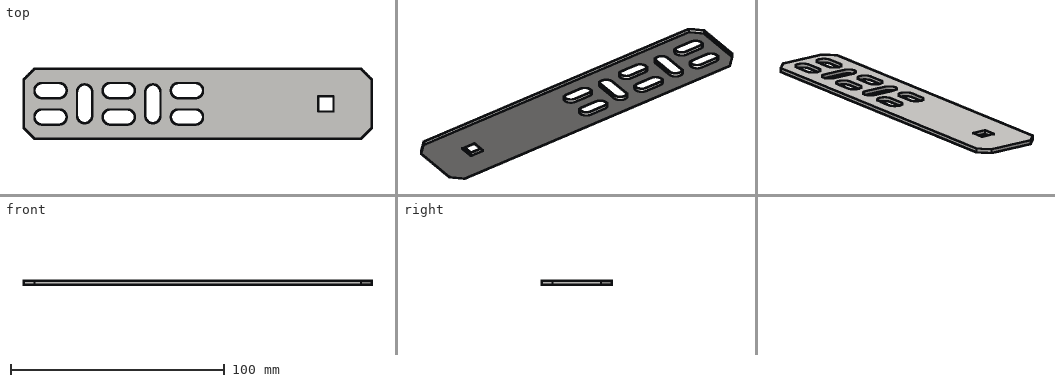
import cadquery as cq

length = 163.0
width = 33.0
thickness = 2.0
corner_chamfer = 5.0

slot_width = 7.0
long_slot_length = 15.0
cross_slot_length = 18.1
row_spacing = 12.4
slot_pitch = 32.0
first_pair_inset = 12.5
first_pair_x = -length / 2 + first_pair_inset
first_cross_x = first_pair_x + slot_pitch / 2
pair_count = 3
cross_count = 2

square_side = 7.0
square_inset = 21.5
square_x = length / 2 - square_inset


def make_plate():
    """Flat bar with its four corners cut at 45 degrees."""
    return cq.Workplane("XY").box(length, width, thickness).edges("|Z").chamfer(corner_chamfer)


def cut_slots(body, centers, slot_length, angle):
    """Cut through slots at the given centres, turned by angle from the X axis."""
    return body.faces(">Z").workplane(origin=(0, 0, 0)).pushPoints(centers).slot2D(
        slot_length, slot_width, angle
    ).cutThruAll()


def cut_square_hole(body):
    """Cut the square through hole on the long centreline."""
    return body.faces(">Z").workplane(origin=(0, 0, 0)).center(square_x, 0).rect(
        square_side, square_side
    ).cutThruAll()


pair_centers = [
    (first_pair_x + i * slot_pitch, side * row_spacing / 2)
    for i in range(pair_count)
    for side in (-1, 1)
]
cross_centers = [(first_cross_x + i * slot_pitch, 0) for i in range(cross_count)]

result = make_plate()
result = cut_slots(result, pair_centers, long_slot_length, 0)
result = cut_slots(result, cross_centers, cross_slot_length, 90)
result = cut_square_hole(result)